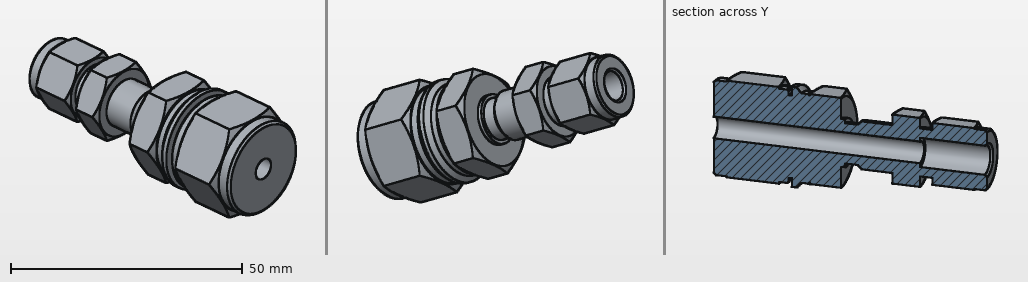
import cadquery as cq
import math

LENGTH = 63.05

SMALL_NUT_START = 2.9
SMALL_NUT_END = 12.7
BODY_HEX_START = 15.45
BODY_HEX_END = 21.9
NECK_START = 29.8
SHOULDER_START = 32.65
LARGE_HEX_START = 33.6
LARGE_HEX_END = 40.9
FLANGE_CONE_START = 42.75
FLANGE_RIM_START = 43.9
FLANGE_RIM_END = 45.1
GROOVE_END = 45.7
LARGE_NUT_START = 47.9
LARGE_NUT_END = 60.0

SMALL_COLLAR_DIAMETER = 13.9
BODY_DIAMETER = 11.1
NECK_DIAMETER = 9.3
FLANGE_BASE_DIAMETER = 20.6
FLANGE_DIAMETER = 23.0
GROOVE_DIAMETER = 19.05
SPACER_DIAMETER = 21.5
LARGE_COLLAR_DIAMETER = 21.8

SMALL_COLLAR_CHAMFER = 0.45
BODY_CHAMFER = (BODY_DIAMETER - NECK_DIAMETER) / 2
FLANGE_BASE_CHAMFER = 0.3
SPACER_CHAMFER = 0.4
LARGE_COLLAR_CHAMFER = 0.55

HALF_CORNER_ANGLE = math.radians(30)
SMALL_NUT_FLATS = 14.25
BODY_HEX_FLATS = 15.9
LARGE_HEX_FLATS = 20.7
LARGE_NUT_CORNERS = 25.65
LARGE_NUT_FLATS = LARGE_NUT_CORNERS * math.cos(HALF_CORNER_ANGLE)
HEX_CHAMFER_ANGLE = math.radians(30)
HEX_FACE_REDUCTION = 0.25

BORE_DIAMETER = 4.85
SOCKET_DIAMETER = 6.55
SOCKET_MOUTH_DIAMETER = 7.55
SOCKET_MOUTH_CHAMFER = (SOCKET_MOUTH_DIAMETER - SOCKET_DIAMETER) / 2
SOCKET_DEPTH = BODY_HEX_START


def cylinder(start, end, diameter):
    """Cylinder along X between two stations."""
    return cq.Workplane("YZ").workplane(offset=start).circle(diameter / 2).extrude(end - start)


def cone(start, end, start_diameter, end_diameter):
    """Truncated cone along X between two stations."""
    profile = [(start, 0), (start, start_diameter / 2), (end, end_diameter / 2), (end, 0)]
    return cq.Workplane("XY").polyline(profile).close().revolve(360, (0, 0, 0), (1, 0, 0))


def hexagon(start, end, flats):
    """Hexagon along X with corners at +Y and -Y, conically chamfered at both ends."""
    corners = flats / math.cos(HALF_CORNER_ANGLE)
    chamfer_depth = (corners - flats + HEX_FACE_REDUCTION) / 2
    chamfer_length = chamfer_depth * math.tan(HEX_CHAMFER_ANGLE)
    prism = cq.Workplane("YZ").workplane(offset=start).polygon(6, corners).extrude(end - start)
    face_diameter = corners - 2 * chamfer_depth
    envelope = (
        cone(start, start + chamfer_length, face_diameter, corners)
        .union(cylinder(start + chamfer_length, end - chamfer_length, corners))
        .union(cone(end - chamfer_length, end, corners, face_diameter))
    )
    return prism.intersect(envelope)


small_collar = cylinder(0, SMALL_NUT_END, SMALL_COLLAR_DIAMETER).faces("<X").chamfer(SMALL_COLLAR_CHAMFER)
small_nut = hexagon(SMALL_NUT_START, SMALL_NUT_END, SMALL_NUT_FLATS)

barrel = cylinder(SMALL_NUT_END, NECK_START, BODY_DIAMETER).faces(">X").chamfer(BODY_CHAMFER)
body_hex = hexagon(BODY_HEX_START, BODY_HEX_END, BODY_HEX_FLATS)
neck = cylinder(NECK_START, SHOULDER_START, NECK_DIAMETER)
shoulder = cylinder(SHOULDER_START, LARGE_HEX_START, BODY_DIAMETER)

large_hex = hexagon(LARGE_HEX_START, LARGE_HEX_END, LARGE_HEX_FLATS)
flange_base = (
    cylinder(LARGE_HEX_END, FLANGE_CONE_START, FLANGE_BASE_DIAMETER)
    .faces("<X")
    .chamfer(FLANGE_BASE_CHAMFER)
)
flange_cone = cone(FLANGE_CONE_START, FLANGE_RIM_START, FLANGE_BASE_DIAMETER, FLANGE_DIAMETER)
flange_rim = cylinder(FLANGE_RIM_START, FLANGE_RIM_END, FLANGE_DIAMETER)
groove_core = cylinder(FLANGE_RIM_END, GROOVE_END, GROOVE_DIAMETER)

spacer = cylinder(GROOVE_END, LARGE_NUT_START, SPACER_DIAMETER).faces("<X").chamfer(SPACER_CHAMFER)
large_nut = hexagon(LARGE_NUT_START, LARGE_NUT_END, LARGE_NUT_FLATS)
large_collar = (
    cylinder(LARGE_NUT_END, LENGTH, LARGE_COLLAR_DIAMETER)
    .faces(">X")
    .chamfer(LARGE_COLLAR_CHAMFER)
)

bore = cylinder(0, LENGTH, BORE_DIAMETER)
socket = cylinder(0, SOCKET_DEPTH, SOCKET_DIAMETER)
socket_mouth = cone(0, SOCKET_MOUTH_CHAMFER, SOCKET_MOUTH_DIAMETER, SOCKET_DIAMETER)

result = small_collar
for section in (
    small_nut,
    barrel,
    body_hex,
    neck,
    shoulder,
    large_hex,
    flange_base,
    flange_cone,
    flange_rim,
    groove_core,
    spacer,
    large_nut,
    large_collar,
):
    result = result.union(section)
result = result.cut(bore).cut(socket).cut(socket_mouth)